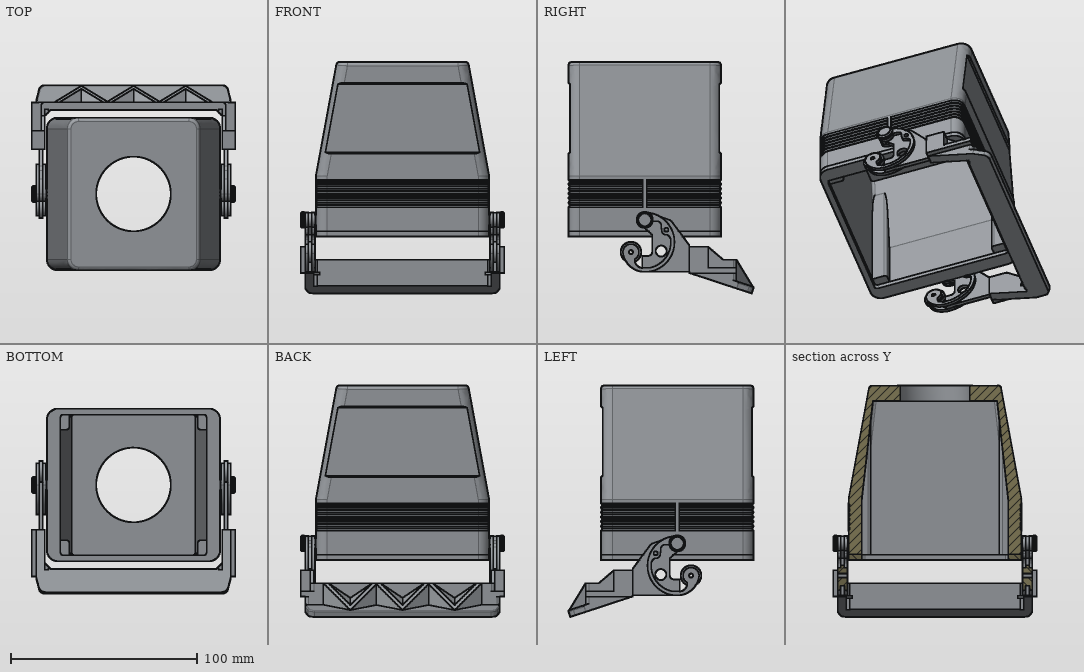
import cadquery as cq
import math

OVERALL_X = 109.5
Z_EXTENT = 124.48
SIDE_X = OVERALL_X / 2

BASE_X = 93.2
BASE_Y = 82.1
HOOD_TOP_Z = 93.9
ROOF_X = 70.7
CORNER_R = 6.0
ROOF_EDGE_R = 2.0
TAPER_START_Z = 32.6
GASKET_H = 3.0

CAVITY_BASE_X = 78.5
CAVITY_ROOF_X = 66.6
WALL_Y = 3.3
ROOF_T = 8.5
INNER_CORNER_R = 1.5
POST_FACE_X = 34.5
POST_FACE_Y = 29.7
CABLE_HOLE_D = 40.0

GROOVE_COUNT = 6
GROOVE_PITCH = 2.5
GROOVE_TOP_Z = 30.6
GROOVE_DEPTH = 0.75
GROOVE_MOUTH = 2.3
GROOVE_FLOOR = 0.4
GROOVE_GAP_Y = 2.0

PANEL_DEPTH = 0.9
PANEL_BOTTOM_Z = 44.5
PANEL_TOP_Z = 82.7

PEG_Z = 9.0
PEG_R = 2.7
PEG_HEAD_R = 4.35
PEG_HEAD_TIP_R = 3.45
PEG_HEAD_T = 1.6
PEG_CONE_T = 0.85

ARM_MID_X = 49.65
ARM_W = 5.3
PLATE_T = 2.0
BOSS_R = 4.0
PLATE_BOSS_R = 3.8
HOOK_CENTER_Z = -3.0
HOOK_R = PEG_Z + BOSS_R - HOOK_CENTER_Z
HOOK_INNER_R = HOOK_R - 2.0
HOOK_BOTTOM_Z = HOOK_CENTER_Z - HOOK_R
TAIL_CENTER_Z = -7.2
ROLLER_Y = -7.4
ROLLER_Z = -8.3
NECK_ANGLE = math.radians(-60)
ROLLER_R = 5.57
EYE_R = TAIL_CENTER_Z - HOOK_BOTTOM_Z - math.hypot(ROLLER_Y, ROLLER_Z - TAIL_CENTER_Z)
ROLLER_HOLE_R = 1.0
PLATE_HOLE_Y = 8.85
PLATE_HOLE_Z = -7.75
PLATE_HOLE_R = 2.9
RIVET_HOLE_Y = 11.6
RIVET_HOLE_Z = 3.65
RIVET_HOLE_R = 1.1
PLATE_END_Y = -1.4
PLATE_BOTTOM_Z = -18.9

FRAME_IN_X = 47.6
WALL_OUT_X = 49.5
FRAME_OUT_X = 52.3
BOX_Y0 = 24.0
BOX_Y1 = 34.0
SLOPE_END_Y = 42.1
BAR_Y0 = 45.1
BAR_Y1 = 49.2
BOX_TOP_Z = -5.4
BAR_TOP_Z = -12.3
LEDGE_Z = -16.6
BOX_BOTTOM_Z = -19.6
GRIP_TIP_Y = 99.73 - BASE_Y / 2
HANDLE_BOTTOM_Z = HOOD_TOP_Z - Z_EXTENT
UNDERSIDE_ANGLE = math.radians(18.2)
LIP_T = 3.7
GRIP_HEEL_Y = GRIP_TIP_Y - LIP_T * math.sin(UNDERSIDE_ANGLE)
GRIP_NOSE_Z = HANDLE_BOTTOM_Z + LIP_T * math.cos(UNDERSIDE_ANGLE)
GRIP_TIP_X = 50.2
GRIP_CORNER_R = 3.5
BAR_CORNER_R = 1.7
RELIEF_X = 45.7
RELIEF_DEPTH = 0.45
GUSSET_LEG = 3.6
GUSSET_T = 1.3
GUSSET_TOP_Z = -19.1
LIP_ROOT_LENGTH = 3.2
LIP_EDGE_R = 0.6
RIB_COUNT = 3
RIB_TIP_Y = GRIP_TIP_Y - LIP_EDGE_R
RIB_TIP_Z = GRIP_NOSE_Z + LIP_EDGE_R * math.tan(UNDERSIDE_ANGLE)
RIB_PITCH = 28.0
RIB_HALF_X = 14.6
NOTCH_HALF_X = 11.9
NOTCH_TIP_Y = 56.4
NOTCH_DEPTH = 8.0


def rounded_block(size_x, size_y, radius, z, height):
    block = cq.Workplane("XY", origin=(0, 0, z)).rect(size_x, size_y).extrude(height)
    return block.edges("|Z").fillet(radius)


def rounded_taper(x_bottom, x_top, size_y, radius, z0, z1):
    bottom = cq.Sketch().rect(x_bottom, size_y).vertices().fillet(radius)
    top = cq.Sketch().rect(x_top, size_y).vertices().fillet(radius)
    return (
        cq.Workplane("XY", origin=(0, 0, z0))
        .placeSketch(bottom, top.moved(cq.Location(cq.Vector(0, 0, z1 - z0))))
        .loft(ruled=True)
    )


def yz_prism(points, x0, x1):
    """Straight-sided YZ outline extruded from x0 to x1."""
    return cq.Workplane("YZ", origin=(x0, 0, 0)).polyline(points).close().extrude(x1 - x0)


def x_cylinder(y, z, radius, x0, x1):
    return cq.Workplane("YZ", origin=(x0, 0, 0)).center(y, z).circle(radius).extrude(x1 - x0)


def mirrored_pair(body):
    return [body, body.mirror("YZ")]


def make_cavity():
    inner_y = BASE_Y - 2 * WALL_Y
    ceiling_z = HOOD_TOP_Z - ROOF_T
    cavity = rounded_block(CAVITY_BASE_X, inner_y, INNER_CORNER_R, 0, TAPER_START_Z)
    upper = rounded_taper(CAVITY_BASE_X, CAVITY_ROOF_X, inner_y, INNER_CORNER_R, TAPER_START_Z, ceiling_z)
    cavity = cavity.union(upper)
    for side_x in (-1, 1):
        for side_y in (-1, 1):
            post = (
                cq.Workplane("XY", origin=(0, 0, GASKET_H))
                .center(side_x * (POST_FACE_X + BASE_X / 2), side_y * (POST_FACE_Y + BASE_Y / 2))
                .rect(BASE_X, BASE_Y)
                .extrude(HOOD_TOP_Z)
                .edges("|Z")
                .fillet(INNER_CORNER_R)
            )
            cavity = cavity.cut(post)
    return cavity


def make_groove_rings():
    """Trapezoidal grooves around the hood, left out on a strip at the middle of each X side."""
    groove_slope = (GROOVE_MOUTH - GROOVE_FLOOR) / 2
    floor_x = BASE_X - 2 * GROOVE_DEPTH
    floor_y = BASE_Y - 2 * GROOVE_DEPTH
    floor_r = CORNER_R - GROOVE_DEPTH
    wide = cq.Sketch().rect(BASE_X, BASE_Y).vertices().fillet(CORNER_R)
    narrow = cq.Sketch().rect(floor_x, floor_y).vertices().fillet(floor_r)
    rise = cq.Location(cq.Vector(0, 0, groove_slope))
    strip = cq.Workplane("XY").box(2 * BASE_X, GROOVE_GAP_Y, 2 * HOOD_TOP_Z)
    rings = []
    for index in range(GROOVE_COUNT):
        bottom_z = GROOVE_TOP_Z - index * GROOVE_PITCH - GROOVE_MOUTH
        floor_z = bottom_z + groove_slope
        upper_z = floor_z + GROOVE_FLOOR
        lower = cq.Workplane("XY", origin=(0, 0, bottom_z)).placeSketch(wide, narrow.moved(rise))
        core = rounded_block(floor_x, floor_y, floor_r, floor_z, GROOVE_FLOOR)
        upper = cq.Workplane("XY", origin=(0, 0, upper_z)).placeSketch(narrow, wide.moved(rise))
        ring = rounded_block(BASE_X, BASE_Y, CORNER_R, bottom_z, GROOVE_MOUTH)
        ring = ring.cut(lower.loft(ruled=True)).cut(core).cut(upper.loft(ruled=True))
        rings.append(ring.cut(strip))
    return rings


def make_side_panel():
    """Shallow recess with sloped ends across the -Y side of the hood."""
    outer = -BASE_Y / 2
    floor = outer + PANEL_DEPTH
    outline = [
        (outer, PANEL_BOTTOM_Z),
        (floor, PANEL_BOTTOM_Z + PANEL_DEPTH),
        (floor, PANEL_TOP_Z - PANEL_DEPTH),
        (outer, PANEL_TOP_Z),
    ]
    return yz_prism(outline, -BASE_X / 2, BASE_X / 2)


def make_peg():
    head_x = SIDE_X - PEG_HEAD_T
    cone_x = SIDE_X - PEG_CONE_T
    root_x = (BASE_X + CAVITY_BASE_X) / 4
    profile = [
        (root_x, 0),
        (root_x, PEG_R),
        (head_x, PEG_R),
        (head_x, PEG_HEAD_R),
        (cone_x, PEG_HEAD_R),
        (SIDE_X, PEG_HEAD_TIP_R),
        (SIDE_X, 0),
    ]
    peg = cq.Workplane("XY").polyline(profile).close().revolve(360, (0, 0, 0), (1, 0, 0))
    return peg.translate((0, 0, PEG_Z))


def make_hood():
    lower = rounded_block(BASE_X, BASE_Y, CORNER_R, GASKET_H, TAPER_START_Z - GASKET_H)
    upper = rounded_taper(BASE_X, ROOF_X, BASE_Y, CORNER_R, TAPER_START_Z, HOOD_TOP_Z)
    upper = upper.faces(">Z").edges().fillet(ROOF_EDGE_R)
    hood = lower.union(upper)
    panel = make_side_panel()
    hood = hood.cut(panel).cut(panel.mirror("XZ"))
    for ring in make_groove_rings():
        hood = hood.cut(ring)
    hood = hood.cut(make_cavity())
    hood = hood.cut(cq.Workplane("XY").circle(CABLE_HOLE_D / 2).extrude(HOOD_TOP_Z))
    for peg in mirrored_pair(make_peg()):
        hood = hood.union(peg)
    return hood


def make_gasket():
    gasket = rounded_block(BASE_X, BASE_Y, CORNER_R, 0, GASKET_H)
    opening = rounded_block(CAVITY_BASE_X, BASE_Y - 2 * WALL_Y, INNER_CORNER_R, 0, GASKET_H)
    return gasket.cut(opening)


def polar_point(center, radius, angle):
    return (center[0] + radius * math.cos(angle), center[1] + radius * math.sin(angle))


def make_hook_cheeks():
    """Hook outline with a boss around the peg and an eye around the roller, over the full arm width."""
    peg = (0, PEG_Z)
    hook = (0, HOOK_CENTER_Z)
    tail = (0, TAIL_CENTER_Z)
    eye = (ROLLER_Y, ROLLER_Z)
    boss_top = (0, PEG_Z + BOSS_R)
    eye_angle = math.atan2(ROLLER_Z - TAIL_CENTER_Z, ROLLER_Y) % (2 * math.pi)
    tail_mid_angle = (1.5 * math.pi + eye_angle) / 2
    neck = polar_point(eye, EYE_R, NECK_ANGLE)
    throat_y = 2.6
    throat_z = HOOK_CENTER_Z - math.sqrt(HOOK_INNER_R**2 - throat_y**2)
    inner_end_y = 13.9
    inner_end_z = HOOK_CENTER_Z + math.sqrt(HOOK_INNER_R**2 - inner_end_y**2)
    lobe_start = (12.1, 0.9)
    lobe_end = (9.05, 3.7)
    step_start = (8.9, 5.7)
    step_z = PEG_Z - 0.7
    step_end = (6.2, step_z)
    boss_side_y = math.sqrt(BOSS_R**2 - (PEG_Z - step_z) ** 2)
    outline = (
        cq.Workplane("YZ", origin=(ARM_MID_X - ARM_W / 2, 0, 0))
        .moveTo(*boss_top)
        .threePointArc((HOOK_R, HOOK_CENTER_Z), (0, HOOK_BOTTOM_Z))
        .threePointArc(
            polar_point(tail, TAIL_CENTER_Z - HOOK_BOTTOM_Z, tail_mid_angle),
            polar_point(eye, EYE_R, eye_angle),
        )
        .threePointArc(polar_point(eye, EYE_R, math.radians(75)), neck)
        .threePointArc((-4.0, -15.6), (PLATE_END_Y, throat_z))
        .lineTo(throat_y, throat_z)
        .threePointArc(polar_point(hook, HOOK_INNER_R, math.radians(-35)), (inner_end_y, inner_end_z))
        .threePointArc((13.4, -0.2), lobe_start)
        .threePointArc((9.8, 1.7), lobe_end)
        .lineTo(*step_start)
        .threePointArc((8.2, 7.6), step_end)
        .lineTo(boss_side_y, step_z)
        .threePointArc(polar_point(peg, BOSS_R, math.radians(225)), boss_top)
        .close()
    )
    return outline.extrude(ARM_W)


def make_arm_plate():
    """Flat plate between the cheeks that runs from the boss to the handle box."""
    boss_top = (0, PEG_Z + PLATE_BOSS_R)
    boss_exit_y = -0.7
    boss_exit_z = PEG_Z - math.sqrt(PLATE_BOSS_R**2 - boss_exit_y**2)
    shoulder = [(8.2, 10.8), (12.7, 9.2), (15.1, 7.3)]
    box_corner_z = -4.6
    mouth_y = 4.0
    mouth_top_z = 1.0
    mouth_floor_z = -10.3
    mouth_corner_r = 2.2
    plate = (
        cq.Workplane("YZ", origin=(ARM_MID_X - PLATE_T / 2, 0, 0))
        .moveTo(*boss_top)
        .threePointArc((4.2, 12.5), shoulder[0])
        .lineTo(*shoulder[1])
        .threePointArc((14.2, 8.4), shoulder[2])
        .lineTo(BOX_Y0, box_corner_z)
        .lineTo(BOX_Y0, PLATE_BOTTOM_Z)
        .lineTo(PLATE_END_Y, PLATE_BOTTOM_Z)
        .lineTo(PLATE_END_Y, mouth_floor_z)
        .lineTo(mouth_y - mouth_corner_r, mouth_floor_z)
        .radiusArc((mouth_y, mouth_floor_z + mouth_corner_r), -mouth_corner_r)
        .lineTo(mouth_y, mouth_top_z)
        .lineTo(boss_exit_y, boss_exit_z)
        .threePointArc((-PLATE_BOSS_R, PEG_Z), boss_top)
        .close()
    )
    return plate.extrude(PLATE_T)


def make_latch_arm():
    plate_x0 = ARM_MID_X - PLATE_T / 2
    plate_x1 = ARM_MID_X + PLATE_T / 2
    slot = cq.Workplane("XY").box(PLATE_T, 2 * BASE_Y, 2 * BASE_Y).translate((ARM_MID_X, 0, 0))
    arm = make_hook_cheeks().cut(slot)
    arm = arm.union(make_arm_plate())
    arm = arm.union(x_cylinder(ROLLER_Y, ROLLER_Z, ROLLER_R, plate_x0, plate_x1))
    holes = [
        (0, PEG_Z, PEG_R),
        (ROLLER_Y, ROLLER_Z, ROLLER_HOLE_R),
        (PLATE_HOLE_Y, PLATE_HOLE_Z, PLATE_HOLE_R),
        (RIVET_HOLE_Y, RIVET_HOLE_Z, RIVET_HOLE_R),
    ]
    for y, z, radius in holes:
        arm = arm.cut(x_cylinder(y, z, radius, 0, SIDE_X))
    return arm


def underside_z(y):
    """Height of the sloped underside of the handle."""
    return HANDLE_BOTTOM_Z + (GRIP_HEEL_Y - y) * math.tan(UNDERSIDE_ANGLE)


def make_handle_side():
    under_end = (BAR_Y1, underside_z(BAR_Y1))
    heel = (BOX_Y0, underside_z(BOX_Y0))
    box_top = [(BOX_Y0, BOX_TOP_Z), (BOX_Y1, BOX_TOP_Z)]
    ledge = [(BOX_Y1, LEDGE_Z), (BAR_Y1, LEDGE_Z)]
    wall = box_top + [(SLOPE_END_Y, BAR_TOP_Z), (BAR_Y1, BAR_TOP_Z), under_end, heel]
    side = yz_prism(wall, FRAME_IN_X, WALL_OUT_X).edges("|Z and >X and >Y").fillet(BAR_CORNER_R)
    foot_outline = [(BOX_Y0, LEDGE_Z), (BAR_Y1, LEDGE_Z), under_end, heel]
    foot = yz_prism(foot_outline, WALL_OUT_X - BAR_CORNER_R, FRAME_OUT_X)
    foot = foot.edges("|Z and >X and >Y").fillet(BAR_CORNER_R)
    box = yz_prism(box_top + ledge + [(BAR_Y1, BOX_BOTTOM_Z), (BOX_Y0, BOX_BOTTOM_Z)], WALL_OUT_X, SIDE_X)
    gusset_y = BAR_Y0 + RELIEF_DEPTH
    gusset_outline = [
        (FRAME_IN_X, gusset_y),
        (FRAME_IN_X - GUSSET_LEG, gusset_y),
        (FRAME_IN_X, gusset_y - GUSSET_LEG),
    ]
    gusset_plane = cq.Workplane("XY", origin=(0, 0, GUSSET_TOP_Z - GUSSET_T))
    gusset = gusset_plane.polyline(gusset_outline).close().extrude(GUSSET_T)
    return side.union(foot).union(box).union(gusset)


def make_lip():
    """Sloped plate along the bottom of the handle, narrowing towards its rounded tip."""
    length = (GRIP_HEEL_Y - BAR_Y1) / math.cos(UNDERSIDE_ANGLE)
    underside = cq.Workplane(
        cq.Plane(
            origin=(0, BAR_Y1, underside_z(BAR_Y1)),
            xDir=(1, 0, 0),
            normal=(0, math.sin(UNDERSIDE_ANGLE), math.cos(UNDERSIDE_ANGLE)),
        )
    )
    corners = [(-FRAME_OUT_X, 0), (FRAME_OUT_X, 0), (GRIP_TIP_X, length), (-GRIP_TIP_X, length)]
    normal = underside.plane.zDir
    tip_direction = underside.plane.yDir
    root_edge = cq.selectors.DirectionMinMaxSelector(tip_direction, False)
    lip = underside.polyline(corners).close().extrude(LIP_T)
    lip = lip.faces(cq.selectors.DirectionMinMaxSelector(tip_direction, True))
    lip = lip.edges(cq.selectors.ParallelDirSelector(normal)).fillet(GRIP_CORNER_R)
    lip = lip.faces(cq.selectors.DirectionMinMaxSelector(normal, True))
    lip = lip.edges(cq.selectors.InverseSelector(root_edge)).fillet(LIP_EDGE_R)
    root = underside.center(0, -LIP_ROOT_LENGTH / 2).rect(2 * FRAME_OUT_X, LIP_ROOT_LENGTH).extrude(LIP_T)
    return lip.union(root)


def rib_slope_z(y):
    """Height of the sloped top of the grip ribs."""
    return BAR_TOP_Z + (RIB_TIP_Z - BAR_TOP_Z) * (y - BAR_Y1) / (RIB_TIP_Y - BAR_Y1)


def make_grip_rib():
    """Triangular rib with a sloped top, hollowed by a V-shaped notch that runs out near its tip."""
    plan = (
        cq.Workplane("XY", origin=(0, 0, HANDLE_BOTTOM_Z))
        .polyline([(-RIB_HALF_X, BAR_Y1), (RIB_HALF_X, BAR_Y1), (0, RIB_TIP_Y)])
        .close()
        .extrude(-HANDLE_BOTTOM_Z)
    )
    profile = [
        (BAR_Y1, BAR_TOP_Z),
        (RIB_TIP_Y, RIB_TIP_Z),
        (BAR_Y1, underside_z(BAR_Y1) + LIP_T / 2),
    ]
    rib = yz_prism(profile, -RIB_HALF_X, RIB_HALF_X).intersect(plan)
    notch = cq.Solid.makeSolid(cq.Shell.makeShell(notch_faces()))
    return rib.cut(cq.Workplane(notch))


def notch_faces():
    left = cq.Vector(-NOTCH_HALF_X, BAR_Y1, BAR_TOP_Z)
    right = cq.Vector(NOTCH_HALF_X, BAR_Y1, BAR_TOP_Z)
    valley = cq.Vector(0, BAR_Y1, BAR_TOP_Z - NOTCH_DEPTH)
    tip = cq.Vector(0, NOTCH_TIP_Y, rib_slope_z(NOTCH_TIP_Y))
    corners = [(left, right, valley), (left, right, tip), (left, valley, tip), (right, valley, tip)]
    return [cq.Face.makeFromWires(cq.Wire.makePolygon(list(points), close=True)) for points in corners]


def make_grip():
    grip = make_lip()
    for index in range(RIB_COUNT):
        offset = (index - (RIB_COUNT - 1) / 2) * RIB_PITCH
        grip = grip.union(make_grip_rib().translate((offset, 0, 0)))
    return grip


def make_bar(inner_y, half_x):
    profile = [
        (inner_y, BAR_TOP_Z),
        (BAR_Y1, BAR_TOP_Z),
        (BAR_Y1, underside_z(BAR_Y1)),
        (inner_y, underside_z(inner_y)),
    ]
    return yz_prism(profile, -half_x, half_x)


def make_handle():
    handle = make_bar(BAR_Y0, RELIEF_X).union(make_bar(BAR_Y0 + RELIEF_DEPTH, FRAME_IN_X))
    for side in mirrored_pair(make_handle_side()):
        handle = handle.union(side)
    return handle.union(make_grip())


hood = make_hood()
gasket = make_gasket()
handle = make_handle()
latch_arms = mirrored_pair(make_latch_arm())

result = cq.Compound.makeCompound(
    [hood.val(), gasket.val(), handle.val(), *[arm.val() for arm in latch_arms]]
)